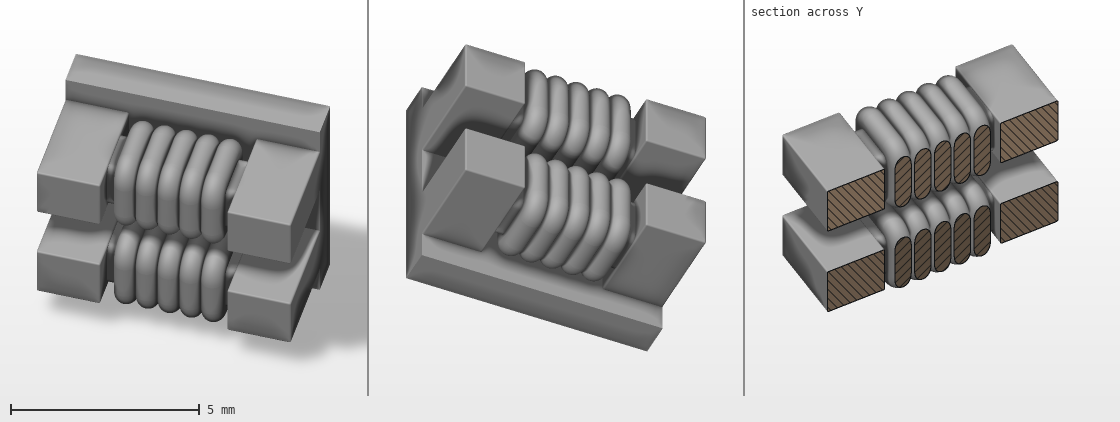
import cadquery as cq

PLATE_WIDTH = 7.0
PLATE_THICKNESS = 1.0
PLATE_HEIGHT = 6.0

CORE_COUNT = 2
CORE_PITCH = 3.0
BLOCK_WIDTH = 1.75
BLOCK_DEPTH = 2.8
BLOCK_HEIGHT = 1.5
BLOCK_EDGE_RADIUS = 0.05
ROD_SIDE = 1.4
ROD_CORNER_RADIUS = 0.2

TURN_COUNT = 5
TURN_WIDTH = 0.6
TURN_THICKNESS = 0.5

TOTAL_DEPTH = PLATE_THICKNESS + BLOCK_DEPTH
PLATE_CENTER_Y = (TOTAL_DEPTH - PLATE_THICKNESS) / 2
CORE_CENTER_Y = -(TOTAL_DEPTH - BLOCK_DEPTH) / 2
BLOCK_CENTER_X = (PLATE_WIDTH - BLOCK_WIDTH) / 2
ROD_LENGTH = PLATE_WIDTH - 2 * BLOCK_WIDTH


def centered_offsets(count, pitch):
    """Evenly spaced positions, symmetric about zero."""
    return [(i - (count - 1) / 2) * pitch for i in range(count)]


def make_plate():
    plate = cq.Workplane("XY").box(PLATE_WIDTH, PLATE_THICKNESS, PLATE_HEIGHT)
    return plate.translate((0, PLATE_CENTER_Y, 0))


def make_end_block(center_x):
    """Block with every edge rounded except those against the plate."""
    block = cq.Workplane("XY").box(BLOCK_WIDTH, BLOCK_DEPTH, BLOCK_HEIGHT)
    block = block.edges("not(>Y)").fillet(BLOCK_EDGE_RADIUS)
    return block.translate((center_x, 0, 0))


def make_rod():
    rod = cq.Workplane("XY").box(ROD_LENGTH, ROD_SIDE, ROD_SIDE)
    return rod.edges("|X").fillet(ROD_CORNER_RADIUS)


def make_core():
    core = make_rod()
    for center_x in (-BLOCK_CENTER_X, BLOCK_CENTER_X):
        core = core.union(make_end_block(center_x))
    return core


def make_turn(center_x):
    """Closed loop around the rod, made by sweeping its section along the rod's outline."""
    half_width = TURN_WIDTH / 2
    inside_y = ROD_SIDE / 2
    outside_y = inside_y + TURN_THICKNESS
    round_start_y = outside_y - half_width
    path = make_rod().faces("<X").wires().translate((ROD_LENGTH / 2, 0, 0))
    section = (
        cq.Workplane("XY")
        .moveTo(-half_width, inside_y)
        .lineTo(-half_width, round_start_y)
        .threePointArc((0, outside_y), (half_width, round_start_y))
        .lineTo(half_width, inside_y)
        .close()
    )
    return section.sweep(path).translate((center_x, 0, 0))


def make_winding():
    """Row of turns joined along their flat sides."""
    first_x, *other_xs = centered_offsets(TURN_COUNT, TURN_WIDTH)
    winding = make_turn(first_x)
    for center_x in other_xs:
        winding = winding.union(make_turn(center_x))
    return winding


plate = make_plate()
core = make_core()
winding = make_winding()

bodies = [plate.val()]
for center_z in centered_offsets(CORE_COUNT, CORE_PITCH):
    place = (0, CORE_CENTER_Y, center_z)
    bodies += core.translate(place).solids().vals()
    bodies += winding.translate(place).solids().vals()

result = cq.Compound.makeCompound(bodies)